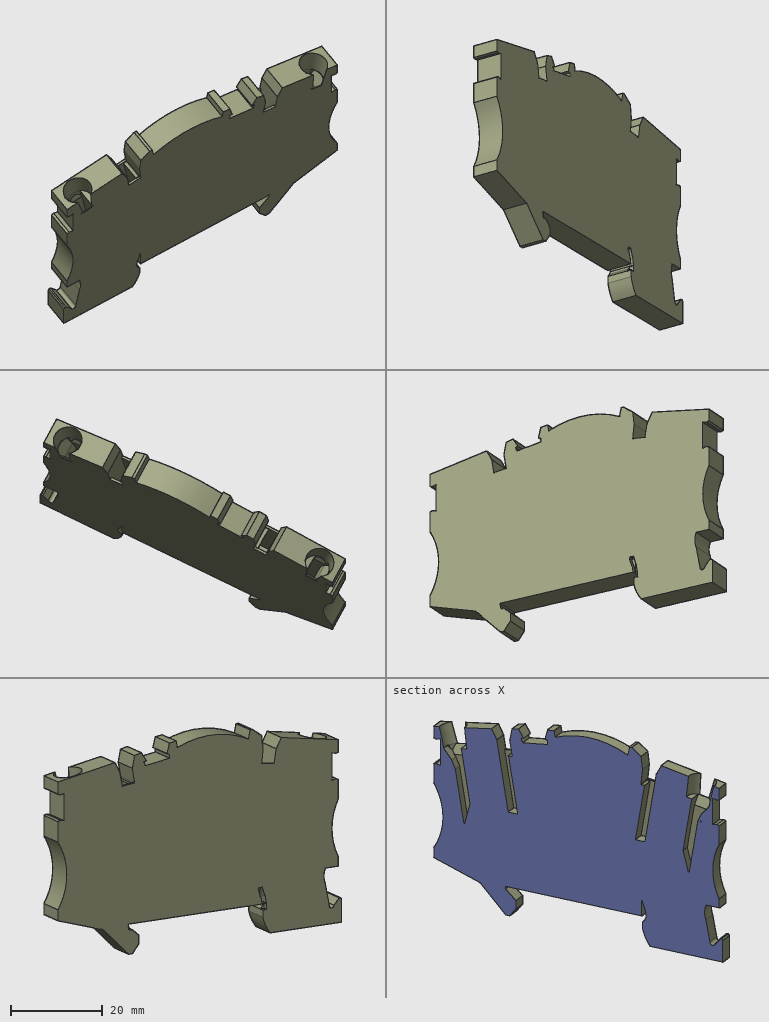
import cadquery as cq
import math

thickness = 6.15
half_width = 35.4
height = 46.7
toe_y = -36.2
left_face = -thickness / 2

shoulder_outer_z = 41.3
shoulder_inner_y = 21.0
shoulder_inner_z = 43.75
slot_wall_y, slot_wall_z = 19.7, 41.4
slot_inner_y, slot_inner_z = 16.05, 38.5
tilt = math.atan2(shoulder_inner_z - shoulder_outer_z, half_width - shoulder_inner_y)
slot_outer_z = 38.15
slot_outer_y = slot_wall_y - (slot_wall_z - slot_outer_z) * math.tan(tilt)

recess_y = 33.8
recess_top_z, recess_bottom_z = 38.5, 32.35
lip_height = 0.2
lip_tip_y = 34.8

rail_top_z = 6.8
rail_left_y, rail_right_y = 17.55, -16.2
fixed_hook_y = -16.3
fixed_hook_z = 5.45
gap_top_z = 10.6

hollow_top_z, hollow_bottom_z = 27.7, 12.45
hollow_deepest = (33.15, 20.05)
foot_hollow_top_z, foot_hollow_bottom_z = 27.9, 15.0
foot_hollow_deepest = (-33.8, 21.4)

funnel_y = 30.85
funnel_x = 0.4
funnel_radius = 3.15
funnel_end_radius = 2.85
funnel_depth = 5.0
well_width = 3.7
well_length = 12.9
well_inner_y = 29.4
lead_in_depth = 2.2
lead_in_flare = 1.1
gentle_run, gentle_slope = 2.0, math.radians(50)
steep_run, steep_slope = 0.9, math.radians(65)

shaft_width = 5.0
shaft_inner_y = 17.0
shelf_depth = 0.35
shaft_length = 13.6

relief_depth = 1.1


def mirrored(points):
    """Mirror (y, z) points about the middle plane and reverse their order."""
    return [(-y, z) for y, z in reversed(points)]


def extrude_profile(points, start_x, length):
    """Closed straight-sided (y, z) profile, extruded along +X from start_x."""
    return cq.Workplane("YZ").workplane(offset=start_x).polyline(points).close().extrude(length)


shoulder = [
    (half_width, recess_bottom_z),
    (lip_tip_y, recess_bottom_z + lip_height),
    (recess_y, recess_bottom_z),
    (recess_y, recess_top_z),
    (lip_tip_y, recess_top_z - lip_height),
    (half_width, recess_top_z),
    (half_width, shoulder_outer_z),
    (shoulder_inner_y, shoulder_inner_z),
    (slot_wall_y, slot_wall_z),
    (slot_outer_y, slot_outer_z),
    (slot_inner_y, slot_inner_z),
]

marker_holder = [
    (16.6, 41.9),
    (16.05, 44.7),
    (14.3, 45.1),
    (13.0, 43.1),
    (13.7, 42.9),
    (13.25, 42.0),
    (7.2, 42.9),
    (7.3, 43.75),
    (7.9, 43.95),
    (7.2, 46.3),
    (5.5, 46.55),
    (5.2, 45.05),
]
dome_top = (-2.6, height)
dome_end = (-12.7, 44.5)

peak = [
    (-13.1, 46.55),
    (-13.75, 46.55),
    (-16.05, 44.9),
    (-16.4, 41.9),
]

foot_step = [
    (-half_width, 12.75),
    (-32.15, 12.75),
]
neck_arc = [(-31.8, 11.4), (-32.1, 9.4)]
groove_start = (-33.1, 4.3)
groove_arc = [(-33.6, 3.6), (-34.3, 4.1)]
toe = [
    (-35.6, 5.6),
    (-35.95, 5.6),
    (toe_y, 5.2),
    (toe_y, 0),
    (-18.2, 0),
]
hook_arc = [(-17.05, 1.8), (fixed_hook_y, 3.8)]
hook_and_gap = [
    (fixed_hook_y, fixed_hook_z),
    (-16.8, 6.1),
    (-17.2, 6.9),
    (-17.0, 8.4),
    (-16.4, 9.9),
    (rail_right_y, gap_top_z),
    (rail_right_y, rail_top_z),
    (rail_left_y, rail_top_z),
]

snap_foot = [
    (rail_left_y, 6.3),
    (15.0, 4.0),
    (15.0, 2.0),
    (16.55, 0),
    (17.55, 0),
    (23.9, 6.4),
    (half_width, 9.95),
    (half_width, hollow_bottom_z),
]


def make_housing():
    outline = cq.Workplane("YZ").workplane(offset=left_face).moveTo(half_width, hollow_top_z)
    for point in shoulder + marker_holder:
        outline = outline.lineTo(*point)
    outline = outline.threePointArc(dome_top, dome_end)
    for point in peak + mirrored(shoulder):
        outline = outline.lineTo(*point)
    outline = outline.lineTo(-half_width, foot_hollow_top_z)
    outline = outline.threePointArc(foot_hollow_deepest, (-half_width, foot_hollow_bottom_z))
    for point in foot_step:
        outline = outline.lineTo(*point)
    outline = outline.threePointArc(*neck_arc).lineTo(*groove_start)
    outline = outline.threePointArc(*groove_arc)
    for point in toe:
        outline = outline.lineTo(*point)
    outline = outline.threePointArc(*hook_arc)
    for point in hook_and_gap + snap_foot:
        outline = outline.lineTo(*point)
    outline = outline.threePointArc(hollow_deepest, (half_width, hollow_top_z))
    return outline.close().extrude(thickness)


def top_point(y):
    """Point (y, z) on the tilted top face of the +Y end."""
    return (y, shoulder_outer_z + (half_width - y) * math.tan(tilt))


def sunk(point, length):
    """Move a (y, z) point by length along the inward normal of the +Y top face."""
    return (point[0] - length * math.sin(tilt), point[1] - length * math.cos(tilt))


def funnel_section(depth):
    """Workplane on the funnel axis at the given depth, facing inward."""
    y, z = sunk(top_point(funnel_y), depth)
    inward = (0, -math.sin(tilt), -math.cos(tilt))
    return cq.Workplane(cq.Plane(origin=(funnel_x, y, z), xDir=(1, 0, 0), normal=inward))


def make_funnel():
    """Tapered wire entry that breaks out through the right face."""
    taper = math.degrees(math.atan2(funnel_radius - funnel_end_radius, funnel_depth))
    return funnel_section(0).circle(funnel_radius).extrude(funnel_depth, taper=taper)


def well_profile():
    """Side profile of the well: two sloping facets on the outer wall, then a straight shaft."""
    inner_top = sunk(top_point(well_inner_y), funnel_depth)
    outer_top = sunk(top_point(funnel_y + funnel_end_radius), funnel_depth)
    gentle_end = (
        outer_top[0] - gentle_run,
        outer_top[1] - gentle_run * math.tan(gentle_slope),
    )
    steep_end = (
        gentle_end[0] - steep_run,
        gentle_end[1] - steep_run * math.tan(steep_slope),
    )
    outer_end = sunk(steep_end, well_length)
    inner_end = sunk(inner_top, well_length)
    return [inner_top, outer_top, gentle_end, steep_end, outer_end, inner_end]


def make_lead_in(profile):
    """Transition from the round funnel to the well, with sides sloping towards the well."""
    bore = funnel_section(funnel_depth).circle(funnel_end_radius).extrude(lead_in_depth)
    y, z = sunk(top_point(funnel_y), funnel_depth)
    along_top_face = (0, math.cos(tilt), -math.sin(tilt))
    half_bottom = well_width / 2
    half_top = half_bottom + lead_in_flare
    side_slopes = (
        cq.Workplane(cq.Plane(origin=(0, y, z), xDir=(1, 0, 0), normal=along_top_face))
        .moveTo(-half_top, 0)
        .lineTo(half_top, 0)
        .lineTo(half_bottom, lead_in_depth)
        .lineTo(-half_bottom, lead_in_depth)
        .close()
        .extrude(funnel_radius, both=True)
    )
    full_width = extrude_profile(profile, -thickness, 2 * thickness)
    return full_width.intersect(bore).intersect(side_slopes)


def make_wire_entry():
    """Funnel, lead-in and well of the +Y end."""
    profile = well_profile()
    well = extrude_profile(profile, -well_width / 2, well_width)
    return make_funnel().union(well).union(make_lead_in(profile))


def make_shaft():
    """Deep screwdriver shaft below the slot, continuing its outer wall, with a shelf inside."""
    shaft_end = sunk((slot_outer_y, slot_outer_z), shaft_length)
    shelf_edge = sunk((shaft_inner_y, slot_inner_z), shelf_depth)
    profile = [
        (slot_outer_y, slot_outer_z),
        shaft_end,
        sunk(shelf_edge, shaft_length),
        shelf_edge,
        (slot_inner_y, slot_inner_z - shelf_depth),
        (slot_inner_y, slot_inner_z),
    ]
    return extrude_profile(profile, -shaft_width / 2, shaft_width)


reliefs = [
    [
        (-16.25, 10.45),
        (-15.5, 10.6),
        (-15.25, 10.3),
        (-15.3, 9.75),
        (-16.0, 8.0),
        (-16.1, 6.9),
        (-16.25, 6.9),
    ],
    [
        (-16.4, fixed_hook_z),
        (-16.6, 6.7),
        (-17.2, 6.7),
        (-17.25, fixed_hook_z),
    ],
    [
        (17.5, 6.6),
        (15.3, 5.0),
        (15.1, 4.3),
        (16.2, 5.45),
        (17.2, 5.45),
        (17.5, 5.7),
    ],
]

cutter = make_wire_entry().union(make_shaft())
result = make_housing().cut(cutter).cut(cutter.mirror("XZ"))
for relief in reliefs:
    result = result.cut(extrude_profile(relief, left_face, relief_depth))